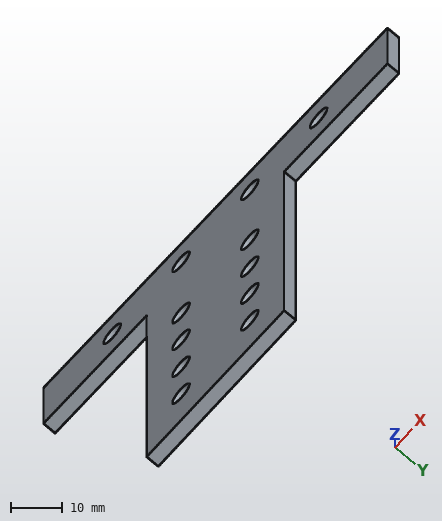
import cadquery as cq
import math

width = 100.0
height = 100.0
thickness = 3.0

bar_depth = 20.0
bar_slope = math.tan(math.radians(2.0))

stem_width = 40.0
stem_left = (width - stem_width) / 2
stem_right = stem_left + stem_width

hole_diameter = 5.0
hole_column_spacing = 20.0
bar_hole_count = 4
stem_hole_columns = 2
stem_hole_rows = 4
stem_hole_row_spacing = 15.0


def bar_top(x):
    """Height of the sloping top edge at x."""
    return height - bar_slope * x


def bar_bottom(x):
    """Height of the crossbar's lower edge at x."""
    return bar_top(x) - bar_depth


def column_positions(count):
    """X positions of hole columns centred on the plate width."""
    first = width / 2 - hole_column_spacing * (count - 1) / 2
    return [first + hole_column_spacing * i for i in range(count)]


def make_plate():
    """T-shaped plate standing in the XZ plane, extending from Y = 0 to +Y."""
    outline = [
        (stem_left, 0),
        (stem_right, 0),
        (stem_right, bar_bottom(stem_right)),
        (width, bar_bottom(width)),
        (width, bar_top(width)),
        (0, bar_top(0)),
        (0, bar_bottom(0)),
        (stem_left, bar_bottom(stem_left)),
    ]
    return cq.Workplane("XZ").polyline(outline).close().extrude(-thickness)


def make_hole_cutters():
    """Cylinders for the crossbar row, which follows the slope, and the stem grid."""
    bar_holes = [(x, bar_top(x) - bar_depth / 2) for x in column_positions(bar_hole_count)]
    stem_holes = [
        (x, stem_hole_row_spacing * (row + 1))
        for x in column_positions(stem_hole_columns)
        for row in range(stem_hole_rows)
    ]
    centres = bar_holes + stem_holes
    return cq.Workplane("XZ").pushPoints(centres).circle(hole_diameter / 2).extrude(-thickness)


result = make_plate().cut(make_hole_cutters())